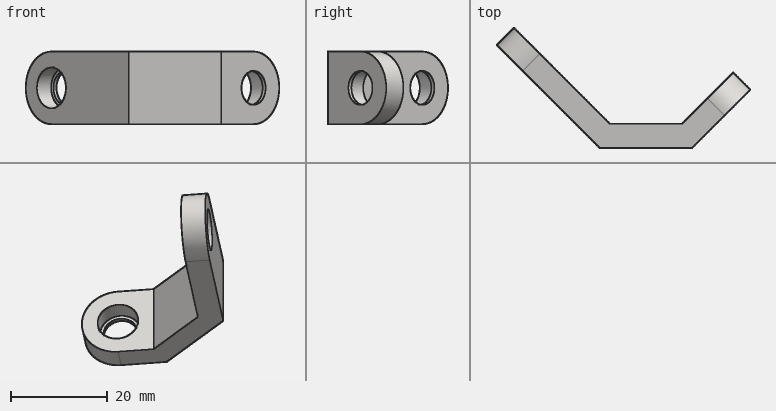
import cadquery as cq
import math

length = 52.35
depth = 24.8
height = 15.0
thickness = 5.0

arm_angle = 45.0
base_length = 19.05

bore_diameter = 8.4
lip_diameter = 7.0
lip_thickness = 0.9

cos_arm = math.cos(math.radians(arm_angle))
sin_arm = math.sin(math.radians(arm_angle))
end_radius = height / 2

left_arm = (depth - thickness * cos_arm) / sin_arm
right_arm = (length - base_length) / cos_arm - left_arm


def make_base():
    """Flat middle bar; its ends slope inwards to the inside corners."""
    miter = thickness * math.tan(math.radians(arm_angle / 2))
    outline = [
        (0, 0),
        (base_length, 0),
        (base_length - miter, thickness),
        (miter, thickness),
    ]
    return cq.Workplane("XY").polyline(outline).close().extrude(height)


def make_arm(start_x, side, arm_length, bore_from_outside):
    """Round-ended arm starting at a base corner; side is -1 for left, 1 for right."""
    outer_face = cq.Plane(
        origin=(start_x, 0, 0),
        xDir=(side * cos_arm, sin_arm, 0),
        normal=(-side * sin_arm, cos_arm, 0),
    )
    top = -side * height
    hole_x = arm_length - end_radius
    arm = (
        cq.Workplane(outer_face)
        .lineTo(hole_x, 0)
        .threePointArc((arm_length, top / 2), (hole_x, top))
        .lineTo(0, top)
        .close()
        .extrude(thickness)
    )
    bore_start = 0 if bore_from_outside else lip_thickness
    hole_center = cq.Workplane(outer_face).center(hole_x, top / 2)
    lip_hole = hole_center.circle(lip_diameter / 2).extrude(thickness)
    bore = (
        hole_center.workplane(offset=bore_start)
        .circle(bore_diameter / 2)
        .extrude(thickness - lip_thickness)
    )
    return arm.cut(lip_hole).cut(bore)


left = make_arm(0, -1, left_arm, bore_from_outside=True)
right = make_arm(base_length, 1, right_arm, bore_from_outside=False)
result = make_base().union(left).union(right).clean()